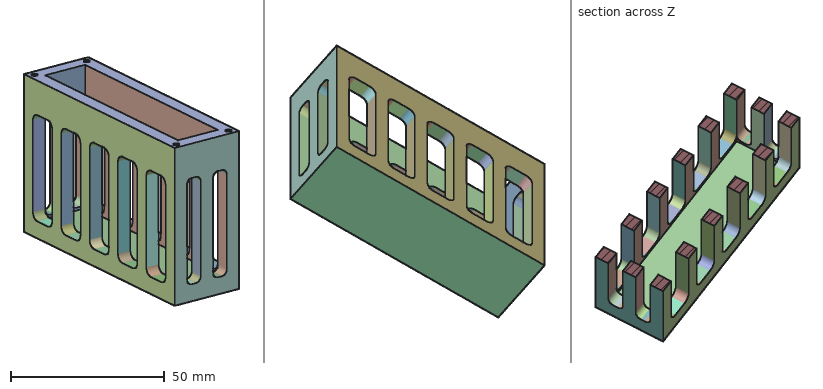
import cadquery as cq
import math

LENGTH = 83.0
WIDTH = 26.0
HEIGHT = 55.0
WALL = 5.0
FLOOR = 5.0
CAVITY_LENGTH = LENGTH - 2 * WALL
CAVITY_WIDTH = WIDTH - 2 * WALL

RIB = 5.0
WINDOW_BOTTOM = 6.0
WINDOW_TOP = 43.0
SIDE_WINDOW_COUNT = 5
SIDE_WINDOW_RADIUS = 2.5
END_WINDOW_COUNT = 2
END_WINDOW_RADIUS = 2.0

THREAD_MINOR_DIAMETER = 1.62
THREAD_MAJOR_DIAMETER = 2.0
THREAD_PITCH = 0.4
THREAD_ROOT_FLAT = THREAD_PITCH / 8
THREAD_FLANK_ANGLE = 30.0
SCREW_HOLE_DEPTH = 10.0
DRILL_TIP_ANGLE = 118.0


def make_box():
    """Rectangular box with a cavity open at the top."""
    box = cq.Workplane("XY").box(LENGTH, WIDTH, HEIGHT, centered=(True, True, False))
    cavity = (
        cq.Workplane("XY", origin=(0, 0, FLOOR))
        .box(CAVITY_LENGTH, CAVITY_WIDTH, HEIGHT - FLOOR, centered=(True, True, False))
    )
    return box.cut(cavity)


def make_windows(plane, span, count, radius, through_length):
    """Row of round-cornered window cutters passing through both opposite walls."""
    window_width = (span - (count - 1) * RIB) / count
    middle_height = (WINDOW_BOTTOM + WINDOW_TOP) / 2
    return (
        cq.Workplane(plane, origin=(0, 0, middle_height))
        .rarray(window_width + RIB, 1, count, 1)
        .rect(window_width, WINDOW_TOP - WINDOW_BOTTOM)
        .extrude(through_length / 2, both=True)
        .edges("|Y" if plane == "XZ" else "|X")
        .fillet(radius)
    )


def make_threaded_hole():
    """Hole cutter with its mouth at Z = 0; ring grooves stand in for the thread helix."""
    minor_radius = THREAD_MINOR_DIAMETER / 2
    major_radius = THREAD_MAJOR_DIAMETER / 2
    flank_height = (major_radius - minor_radius) * math.tan(math.radians(THREAD_FLANK_ANGLE))
    root_half = THREAD_ROOT_FLAT / 2
    groove_half = root_half + flank_height
    tip_height = minor_radius / math.tan(math.radians(DRILL_TIP_ANGLE / 2))

    outline = [
        (0, 0),
        (major_radius, 0),
        (major_radius, -root_half),
        (minor_radius, -groove_half),
    ]
    groove_count = math.floor((SCREW_HOLE_DEPTH - groove_half) / THREAD_PITCH)
    for groove in range(1, groove_count + 1):
        middle = -groove * THREAD_PITCH
        outline += [
            (minor_radius, middle + groove_half),
            (major_radius, middle + root_half),
            (major_radius, middle - root_half),
            (minor_radius, middle - groove_half),
        ]
    outline += [
        (minor_radius, -SCREW_HOLE_DEPTH),
        (0, -SCREW_HOLE_DEPTH - tip_height),
    ]
    return cq.Workplane("XZ").polyline(outline).close().revolve(360, (0, 0, 0), (0, 1, 0))


def cut_screw_holes(body):
    """Four threaded holes, one at each corner of the rim."""
    hole = make_threaded_hole()
    for x_side in (-1, 1):
        for y_side in (-1, 1):
            x = x_side * (LENGTH - WALL) / 2
            y = y_side * (WIDTH - WALL) / 2
            body = body.cut(hole.translate((x, y, HEIGHT)))
    return body


side_windows = make_windows("XZ", CAVITY_LENGTH, SIDE_WINDOW_COUNT, SIDE_WINDOW_RADIUS, WIDTH)
end_windows = make_windows("YZ", CAVITY_WIDTH, END_WINDOW_COUNT, END_WINDOW_RADIUS, LENGTH)
result = cut_screw_holes(make_box().cut(side_windows).cut(end_windows))